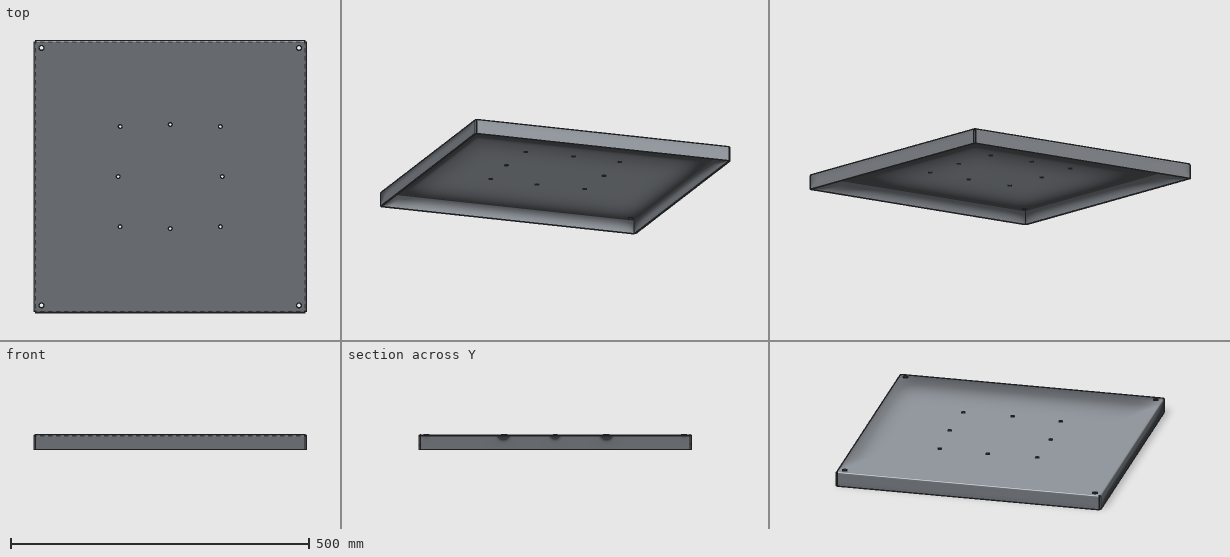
import cadquery as cq

pan_side = 457.2
pan_height = 25.4
sheet_thickness = 2.66
inner_bend_radius = 0.8
outer_bend_radius = inner_bend_radius + sheet_thickness

corner_notch = 2.7

corner_hole_diameter = 7.92
corner_hole_inset = 12.7
corner_hole_offset = pan_side / 2 - corner_hole_inset
mount_hole_diameter = 5.94
axis_hole_offset = 87.3
diagonal_hole_offset = 84.0


def bend_rounded_prism(side, height, bend_radius):
    """Square block on Z = 0 with its two upper edges along Y rounded."""
    return (
        cq.Workplane("XY")
        .box(side, side, height, centered=(True, True, False))
        .edges("|Y and >Z")
        .fillet(bend_radius)
    )


def bend_rounded_block(side, height, bend_radius):
    """Square block with all four upper edges rounded, mitred at the corners."""
    prism = bend_rounded_prism(side, height, bend_radius)
    return prism.intersect(prism.rotate((0, 0, 0), (0, 0, 1), 90))


def corner_notch_cutters():
    """Square posts that remove the corners between the flanges."""
    notch_centre = (pan_side - corner_notch) / 2
    return (
        cq.Workplane("XY")
        .pushPoints(square_pattern(notch_centre))
        .rect(corner_notch, corner_notch)
        .extrude(pan_height)
    )


def folded_tray():
    """Top sheet bent down into four flanges, hollow and open below."""
    outer = bend_rounded_block(pan_side, pan_height, outer_bend_radius)
    hollow = bend_rounded_block(
        pan_side - 2 * sheet_thickness,
        pan_height - sheet_thickness,
        inner_bend_radius,
    )
    return outer.cut(hollow).cut(corner_notch_cutters())


def square_pattern(offset):
    """The four corners of a centred square."""
    return [(x, y) for x in (-offset, offset) for y in (-offset, offset)]


def axis_pattern(offset):
    """One point on each half of the X and Y axes."""
    return [(-offset, 0), (offset, 0), (0, -offset), (0, offset)]


def hole_cutters(points, diameter):
    """Vertical cylinders at the given centres, as tall as the pan."""
    return cq.Workplane("XY").pushPoints(points).circle(diameter / 2).extrude(pan_height)


def make_pan():
    """Folded tray with its corner holes and its ring of eight mounting holes."""
    mount_hole_points = square_pattern(diagonal_hole_offset) + axis_pattern(axis_hole_offset)
    return (
        folded_tray()
        .cut(hole_cutters(square_pattern(corner_hole_offset), corner_hole_diameter))
        .cut(hole_cutters(mount_hole_points, mount_hole_diameter))
    )


pan = make_pan()

result = cq.Compound.makeCompound([pan.solids().val()])